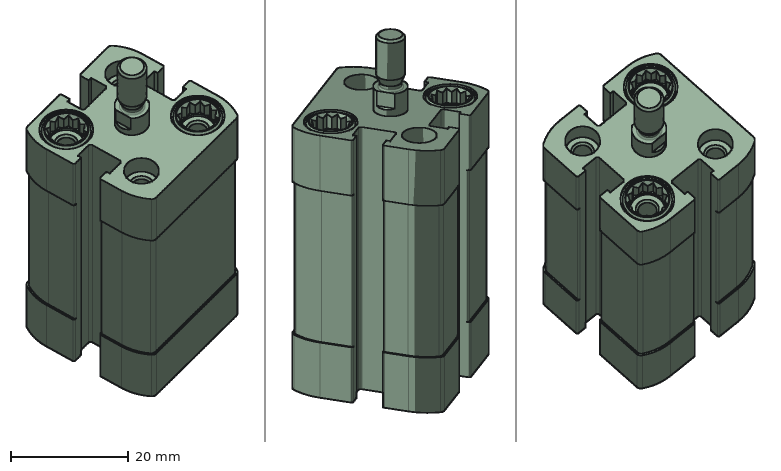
import cadquery as cq
import math

total_height = 64.2
housing_height = 50.0
cap_height = 10.5

cap_half_width = 13.75
barrel_inset = 0.3
cap_flat_half_length = 8.0
flat_inset = 0.2
corner_arc_radius = 10.0
corner_fillet = 0.95

slot_mouth_width = 5.4
slot_inner_width = 6.8
slot_depth = 5.45
lip_thickness = 2.0
slot_offset = 0.65
lip_fillet = 0.3
slot_floor_fillet = 0.45
slots = [(0, slot_offset), (90, -slot_offset), (180, slot_offset)]

hole_spacing = 16.05
bore_diameter = 6.0
bore_depth = 3.45
thread_diameter = 4.0
screw_hole_diameter = 3.2
thread_chamfer = (thread_diameter - screw_hole_diameter) / 2

sleeve_groove_diameter = 9.2
sleeve_base_diameter = 8.5
sleeve_rim_diameter = 7.65
sleeve_groove_depth = (sleeve_base_diameter - sleeve_rim_diameter) / 2
countersink_diameter = 7.4
socket_corner_diameter = 6.95
socket_depth = 2.95
socket_points = 12

shank_diameter = 6.0
shank_top = 54.3
flat_bottom = 51.5
flat_shoulder_drop = 0.25
across_flats = 5.0
neck_diameter = 3.8
neck_fillet = 0.3
neck_top = 55.2
thread_start = 56.7
stud_diameter = 5.0
stud_chamfer = 0.45


def slot_cutter(half_width, offset):
    """T-shaped slot that opens through the front face."""
    floor_y = slot_depth - cap_half_width
    step_y = lip_thickness - cap_half_width
    mouth = cq.Workplane("XY").box(
        slot_mouth_width, half_width + step_y, housing_height, centered=(True, False, False)
    ).translate((offset, -half_width, 0))
    undercut = cq.Workplane("XY").box(
        slot_inner_width, floor_y - step_y, housing_height, centered=(True, False, False)
    ).edges("|Z and >Y").fillet(slot_floor_fillet).translate((offset, step_y, 0))
    return mouth.union(undercut)


def cut_slot(section, half_width, turn, offset):
    """Turn one side to the front, cut its slot, round the lips and turn back."""
    axis = ((0, 0, 0), (0, 0, 1))
    section = section.rotate(*axis, turn).cut(slot_cutter(half_width, offset))
    reach = slot_mouth_width / 2 + lip_fillet
    lip_edges = cq.selectors.BoxSelector(
        (offset - reach, -half_width - lip_fillet, -housing_height),
        (offset + reach, -half_width + lip_fillet, housing_height),
    )
    section = section.edges("|Z").edges(lip_edges).fillet(lip_fillet)
    return section.rotate(*axis, -turn)


def profile_section(half_width, flat_half_length, height):
    """Slotted length of the housing profile, standing on Z = 0."""
    arc_run = half_width - flat_half_length
    side_y = half_width - corner_arc_radius + math.sqrt(corner_arc_radius**2 - arc_run**2)
    section = (
        cq.Workplane("XY")
        .moveTo(-flat_half_length, -half_width)
        .lineTo(flat_half_length, -half_width)
        .radiusArc((half_width, -side_y), -corner_arc_radius)
        .lineTo(half_width, side_y)
        .radiusArc((flat_half_length, half_width), -corner_arc_radius)
        .lineTo(-flat_half_length, half_width)
        .radiusArc((-half_width, side_y), -corner_arc_radius)
        .lineTo(-half_width, -side_y)
        .radiusArc((-flat_half_length, -half_width), -corner_arc_radius)
        .close()
        .extrude(height)
    )
    for side in ("<X", ">X"):
        section = section.faces(side).edges("|Z").fillet(corner_fillet)
    for turn, offset in slots:
        section = cut_slot(section, half_width, turn, offset)
    return section


def revolved(points):
    """Solid of revolution about Z from (radius, height) points."""
    return cq.Workplane("XZ").polyline(points).close().revolve(360, (0, 0), (0, 1))


def screw_hole_cutter():
    """Counterbored through hole with a chamfered lower entry."""
    floor_z = housing_height - bore_depth
    return revolved([
        (0, 0),
        (screw_hole_diameter / 2, 0),
        (screw_hole_diameter / 2, floor_z - thread_chamfer),
        (thread_diameter / 2, floor_z),
        (bore_diameter / 2, floor_z),
        (bore_diameter / 2, housing_height),
        (0, housing_height),
    ])


def sleeve_cutter():
    """Ring groove, countersink and twelve-point socket of one sleeve."""
    top = housing_height
    groove = revolved([
        (sleeve_rim_diameter / 2, top),
        (sleeve_base_diameter / 2, top - sleeve_groove_depth),
        (sleeve_groove_diameter / 2, top - sleeve_groove_depth),
        (sleeve_groove_diameter / 2, top),
    ])
    countersink = revolved([
        (0, top),
        (countersink_diameter / 2, top),
        (0, top - countersink_diameter / 2),
    ])
    half_pitch = math.pi / socket_points
    corners = []
    for point in range(socket_points):
        angle = 2 * point * half_pitch
        for radius in (socket_corner_diameter / 2, bore_diameter / 2):
            corners.append((radius * math.cos(angle), radius * math.sin(angle)))
            angle += half_pitch
    socket = cq.Workplane("XY").workplane(offset=top - socket_depth).polyline(corners).close()
    socket = socket.extrude(socket_depth)
    return groove.union(countersink).union(socket)


def make_housing():
    cap = profile_section(cap_half_width, cap_flat_half_length, cap_height)
    barrel = profile_section(
        cap_half_width - barrel_inset,
        cap_flat_half_length - flat_inset,
        housing_height - 2 * cap_height,
    )
    housing = (
        cap.union(barrel.translate((0, 0, cap_height)))
        .union(cap.translate((0, 0, housing_height - cap_height)))
    )
    reach = hole_spacing / 2
    for x in (-reach, reach):
        for y in (-reach, reach):
            housing = housing.cut(screw_hole_cutter().translate((x, y, 0)))
    for place in (-reach, reach):
        housing = housing.cut(sleeve_cutter().translate((place, place, 0)))
    return housing


def make_rod():
    """Piston rod standing on the housing, with a necked stud and two wrench flats."""
    neck_radius = neck_diameter / 2
    stud_radius = stud_diameter / 2
    fillet_side = neck_fillet * (1 - math.sqrt(0.5))
    rod = (
        cq.Workplane("XZ")
        .moveTo(0, housing_height)
        .lineTo(shank_diameter / 2, housing_height)
        .lineTo(shank_diameter / 2, shank_top)
        .lineTo(neck_radius + neck_fillet, shank_top)
        .threePointArc(
            (neck_radius + fillet_side, shank_top + fillet_side),
            (neck_radius, shank_top + neck_fillet),
        )
        .lineTo(neck_radius, neck_top)
        .lineTo(stud_radius, thread_start)
        .lineTo(stud_radius, total_height - stud_chamfer)
        .lineTo(stud_radius - stud_chamfer, total_height)
        .lineTo(0, total_height)
        .close()
        .revolve(360, (0, 0), (0, 1))
    )
    flat_y = across_flats / 2
    edge_y = shank_diameter / 2
    flat_cut = (
        cq.Workplane("YZ")
        .polyline([
            (flat_y, shank_top),
            (flat_y, flat_bottom),
            (edge_y, flat_bottom - flat_shoulder_drop),
            (edge_y, shank_top),
        ])
        .close()
        .extrude(edge_y, both=True)
    )
    rod = rod.cut(flat_cut).cut(flat_cut.mirror("XZ"))
    return rod


housing = make_housing()
rod = make_rod()
result = cq.Compound.makeCompound([housing.val(), rod.val()])